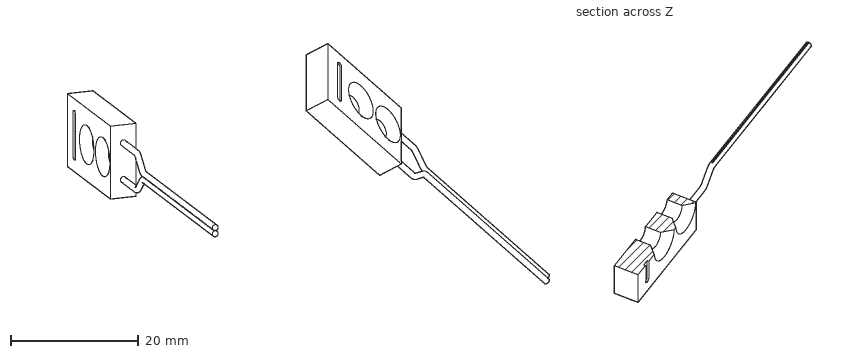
import cadquery as cq
import math

total_length = 59.0
body_length = 18.9
body_depth = 4.3
body_height = 12.0

first_hole_x = 8.5
hole_spacing = 6.95
hole_diameter = 3.2
countersink_diameter = 6.3
countersink_angle = 90.0

slot_x = 3.0
slot_length = 8.1
slot_width = 1.0
slot_depth = 0.3

wire_diameter = 1.0
wire_exit_offset = 3.0
wire_pair_offset = 0.495
first_bend_x = 24.6
bend_radius = 1.0
bend_angle = math.radians(45)


def make_body():
    """Block with its left end at X = 0, centred on Y and Z."""
    body = cq.Workplane("XY").box(body_length, body_depth, body_height)
    body = body.translate((body_length / 2, 0, 0))
    front = cq.Workplane("XZ", origin=(0, -body_depth / 2, 0))
    hole_centers = [(first_hole_x, 0), (first_hole_x + hole_spacing, 0)]
    body = (
        body.copyWorkplane(front)
        .pushPoints(hole_centers)
        .cskHole(hole_diameter, countersink_diameter, countersink_angle)
    )
    slot = front.center(slot_x, 0).slot2D(slot_length, slot_width, 90).extrude(-slot_depth)
    return body.cut(slot)


def make_wire(side):
    """Wire on the upper (side = 1) or lower (side = -1) half of the body."""
    drop = wire_exit_offset - wire_pair_offset
    bend_run = bend_radius * math.sin(bend_angle)
    bend_drop = bend_radius * (1 - math.cos(bend_angle))
    slope_drop = drop - 2 * bend_drop
    slope_run = slope_drop / math.tan(bend_angle)

    slope_start = (first_bend_x + bend_run, side * (wire_exit_offset - bend_drop))
    slope_end = (slope_start[0] + slope_run, side * (wire_pair_offset + bend_drop))
    pair_start = (slope_end[0] + bend_run, side * wire_pair_offset)

    path = (
        cq.Workplane("XZ")
        .moveTo(body_length, side * wire_exit_offset)
        .lineTo(first_bend_x, side * wire_exit_offset)
        .tangentArcPoint(slope_start, relative=False)
        .lineTo(*slope_end)
        .tangentArcPoint(pair_start, relative=False)
        .lineTo(total_length, side * wire_pair_offset)
    )
    section = cq.Workplane("YZ", origin=(body_length, 0, side * wire_exit_offset))
    return section.circle(wire_diameter / 2).sweep(path)


result = make_body()
for side in (1, -1):
    result = result.union(make_wire(side))